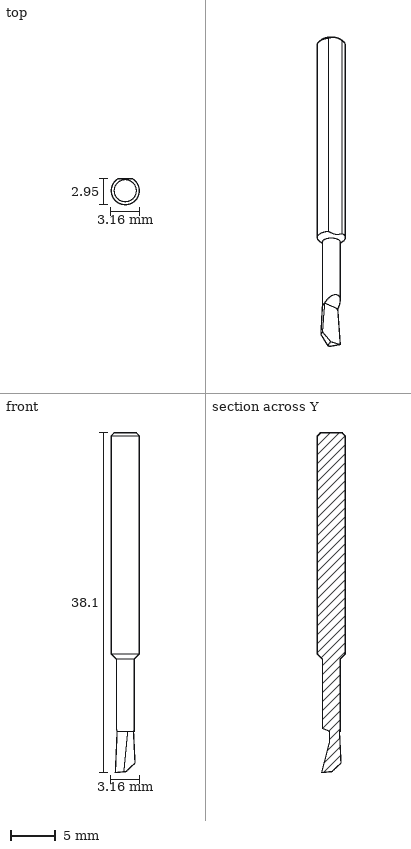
import cadquery as cq
import math

total_length = 38.1
shank_radius = 1.58
shank_depth = 2.95
shank_chamfer = 0.35
shank_bottom = 13.3
neck_radius = 1.01
neck_bottom = 4.65
rake_angle = 23.6
shoulder_angle = 45

belly_angle = -74
relief_angle = -22
end_section = [(-1.125, -0.1), (-0.17, -1.125), (1.15, -0.45), (1.162, 0.1)]

nose_x = 0.08
nose_z = 0.1
bevel_top_z = 1.15
cut_span = 7.62


def make_shank():
    """Chamfered cylinder with a conical lower end and one flat on +Y."""
    cone_bottom = shank_bottom - (shank_radius - neck_radius)
    profile = [
        (0, cone_bottom),
        (neck_radius, cone_bottom),
        (shank_radius, shank_bottom),
        (shank_radius, total_length - shank_chamfer),
        (shank_radius - shank_chamfer, total_length),
        (0, total_length),
    ]
    shank = cq.Workplane("XZ").polyline(profile).close().revolve(360, (0, 0), (0, 1))
    flat_y = shank_depth - shank_radius
    flat_cutter = (
        cq.Workplane("XY")
        .box(cut_span, cut_span, total_length, centered=(True, False, False))
        .translate((0, flat_y, 0))
    )
    return shank.cut(flat_cutter)


def make_neck():
    """Round neck whose lower end slopes up behind the rake face."""
    neck = cq.Workplane("XY").workplane(offset=neck_bottom).circle(neck_radius)
    neck = neck.extrude(shank_bottom - neck_bottom)
    rise = cut_span * math.tan(math.radians(shoulder_angle))
    run_out = (
        cq.Workplane("YZ")
        .polyline([(0, neck_bottom), (cut_span, neck_bottom), (cut_span, neck_bottom + rise)])
        .close()
        .extrude(cut_span / 2, both=True)
        .rotate((0, 0, 0), (0, 0, 1), rake_angle)
    )
    return neck.cut(run_out)


def neck_point(angle):
    """Point on the neck outline at an angle from +X, in degrees."""
    turn = math.radians(angle)
    return (neck_radius * math.cos(turn), neck_radius * math.sin(turn))


def make_tip():
    """Twisted four-sided cutting tip with a bevelled nose."""
    root_angles = [rake_angle + 180, belly_angle, relief_angle, rake_angle]
    root_section = [neck_point(angle) for angle in root_angles]
    tip = (
        cq.Workplane("XY")
        .polyline(end_section).close()
        .workplane(offset=neck_bottom)
        .polyline(root_section).close()
        .loft(ruled=True)
    )
    rear_x = end_section[0][0]
    front_x = end_section[3][0]
    underside = (
        cq.Workplane("XZ")
        .polyline([
            (rear_x, 0),
            (nose_x, nose_z),
            (front_x, bevel_top_z),
            (cut_span, bevel_top_z),
            (cut_span, -cut_span),
            (rear_x, -cut_span),
        ])
        .close()
        .extrude(cut_span / 2, both=True)
    )
    return tip.cut(underside)


result = make_shank().union(make_neck()).union(make_tip())